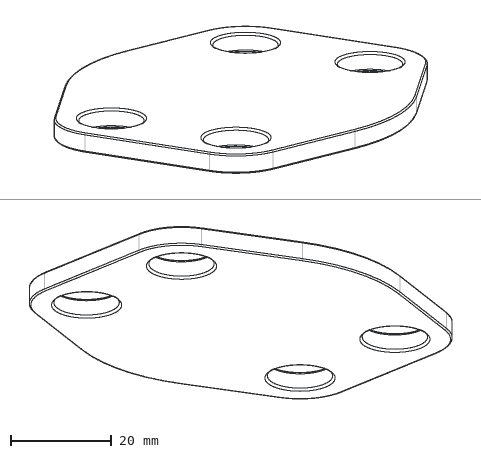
import cadquery as cq
import math

length = 80.0
thickness = 4.0
side_diameter = 70.0
side_radius = side_diameter / 2

hole_diameter = 13.0
hole_x = 13.9
hole_y = 28.6
corner_radius = length / 2 - hole_y

outer_chamfer = 0.3
hole_chamfer = 0.5

center_distance = math.hypot(hole_x, hole_y)
flank_angle = math.atan2(hole_y, hole_x) - math.acos((side_radius - corner_radius) / center_distance)
corner_mid_angle = (flank_angle + math.pi / 2) / 2


def side_point(angle):
    return (side_radius * math.cos(angle), side_radius * math.sin(angle))


def corner_point(angle):
    return (hole_x + corner_radius * math.cos(angle), hole_y + corner_radius * math.sin(angle))


def mirrored(point, x_sign, y_sign):
    return (x_sign * point[0], y_sign * point[1])


side_end = side_point(flank_angle)
corner_start = corner_point(flank_angle)
corner_mid = corner_point(corner_mid_angle)
corner_end = corner_point(math.pi / 2)

outline = (
    cq.Workplane("XY")
    .moveTo(*mirrored(side_end, 1, -1))
    .threePointArc((side_radius, 0), side_end)
    .lineTo(*corner_start)
    .threePointArc(corner_mid, corner_end)
    .lineTo(*mirrored(corner_end, -1, 1))
    .threePointArc(mirrored(corner_mid, -1, 1), mirrored(corner_start, -1, 1))
    .lineTo(*mirrored(side_end, -1, 1))
    .threePointArc((-side_radius, 0), mirrored(side_end, -1, -1))
    .lineTo(*mirrored(corner_start, -1, -1))
    .threePointArc(mirrored(corner_mid, -1, -1), mirrored(corner_end, -1, -1))
    .lineTo(*mirrored(corner_end, 1, -1))
    .threePointArc(mirrored(corner_mid, 1, -1), mirrored(corner_start, 1, -1))
    .close()
)

plate = outline.extrude(thickness).faces("|Z").edges().chamfer(outer_chamfer)

hole_cutters = (
    cq.Workplane("XY")
    .rect(2 * hole_x, 2 * hole_y, forConstruction=True)
    .vertices()
    .circle(hole_diameter / 2)
    .extrude(thickness)
)
plate = plate.cut(hole_cutters)

hole_rims = plate.faces("|Z").edges("%CIRCLE").edges(cq.selectors.RadiusNthSelector(0))
result = hole_rims.chamfer(hole_chamfer)